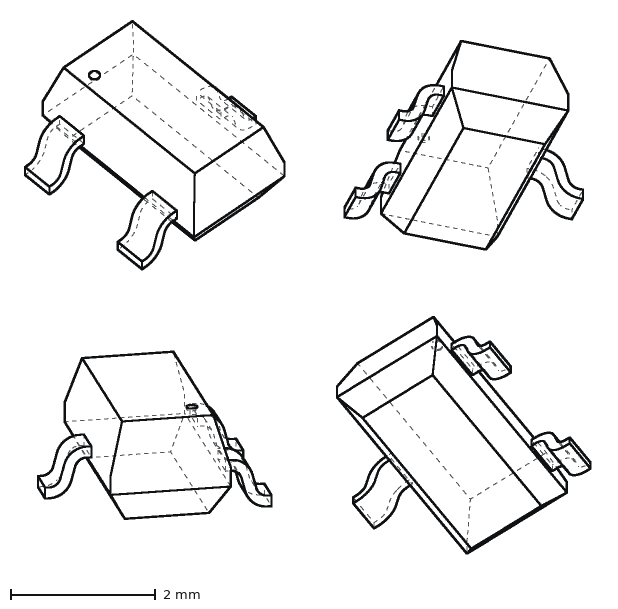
import cadquery as cq
import math

housing_length = 3.1
housing_width = 1.7
housing_height = 1.45
band_bottom = 0.46
band_top = 0.74
top_inset = 0.205
bottom_inset = 0.255

overall_width = 3.0
lead_width = 0.5
lead_pitch = 1.9
lead_thickness = 0.16
lead_top = 0.722
foot_length = 0.06
lead_slope = math.radians(15)
inner_radius = lead_thickness
outer_radius = inner_radius + lead_thickness

marker_diameter = 0.155
marker_depth = 0.03
marker_x = -lead_pitch / 2
marker_y = -0.425


def tapered_block(start_z, start_inset, end_z, end_inset):
    """Loft between two housing rectangles, each inset from the band outline."""
    return (
        cq.Workplane("XY")
        .workplane(offset=start_z)
        .rect(housing_length - 2 * start_inset, housing_width - 2 * start_inset)
        .workplane(offset=end_z - start_z)
        .rect(housing_length - 2 * end_inset, housing_width - 2 * end_inset)
        .loft(ruled=True)
    )


def make_marker():
    return (
        cq.Workplane("XY")
        .workplane(offset=housing_height - marker_depth)
        .center(marker_x, marker_y)
        .circle(marker_diameter / 2)
        .extrude(marker_depth)
    )


def make_housing():
    base = tapered_block(0, bottom_inset, band_bottom, 0)
    band = tapered_block(band_bottom, 0, band_top, 0)
    cap = tapered_block(band_top, 0, housing_height, top_inset)
    return base.union(band).union(cap).cut(make_marker())


def arc_point(center, radius, angle):
    return (center[0] + radius * math.cos(angle), center[1] + radius * math.sin(angle))


def make_lead(x, turn):
    """Lead centred at x, reaching toward +Y and then turned about Z by turn degrees."""
    wall_y = housing_width / 2
    tip_y = overall_width / 2
    shoulder_bottom = lead_top - lead_thickness

    foot_center = (tip_y - foot_length, outer_radius)
    bend_rise = lead_top - 2 * outer_radius
    center_radius_sum = inner_radius + outer_radius
    bend_run = (center_radius_sum + bend_rise * math.sin(lead_slope)) / math.cos(lead_slope)
    shoulder_center = (foot_center[0] - bend_run, lead_top - outer_radius)

    shoulder_end = lead_slope
    shoulder_middle = (math.pi / 2 + shoulder_end) / 2
    foot_start = math.pi + lead_slope
    foot_middle = (foot_start + 3 * math.pi / 2) / 2

    lead = (
        cq.Workplane("YZ")
        .moveTo(wall_y, lead_top)
        .lineTo(shoulder_center[0], lead_top)
        .threePointArc(
            arc_point(shoulder_center, outer_radius, shoulder_middle),
            arc_point(shoulder_center, outer_radius, shoulder_end),
        )
        .lineTo(*arc_point(foot_center, inner_radius, foot_start))
        .threePointArc(
            arc_point(foot_center, inner_radius, foot_middle),
            (foot_center[0], lead_thickness),
        )
        .lineTo(tip_y, lead_thickness)
        .lineTo(tip_y, 0)
        .lineTo(foot_center[0], 0)
        .threePointArc(
            arc_point(foot_center, outer_radius, foot_middle),
            arc_point(foot_center, outer_radius, foot_start),
        )
        .lineTo(*arc_point(shoulder_center, inner_radius, shoulder_end))
        .threePointArc(
            arc_point(shoulder_center, inner_radius, shoulder_middle),
            (shoulder_center[0], shoulder_bottom),
        )
        .lineTo(wall_y, shoulder_bottom)
        .close()
        .extrude(lead_width / 2, both=True)
    )
    return lead.rotate((0, 0, 0), (0, 0, 1), turn).translate((x, 0, 0))


housing = make_housing()
marker = make_marker()

lead_places = [(-lead_pitch / 2, 180), (lead_pitch / 2, 180), (0, 0)]
leads = [make_lead(x, turn).solids().val() for x, turn in lead_places]

result = cq.Compound.makeCompound([housing.solids().val(), marker.val(), *leads])